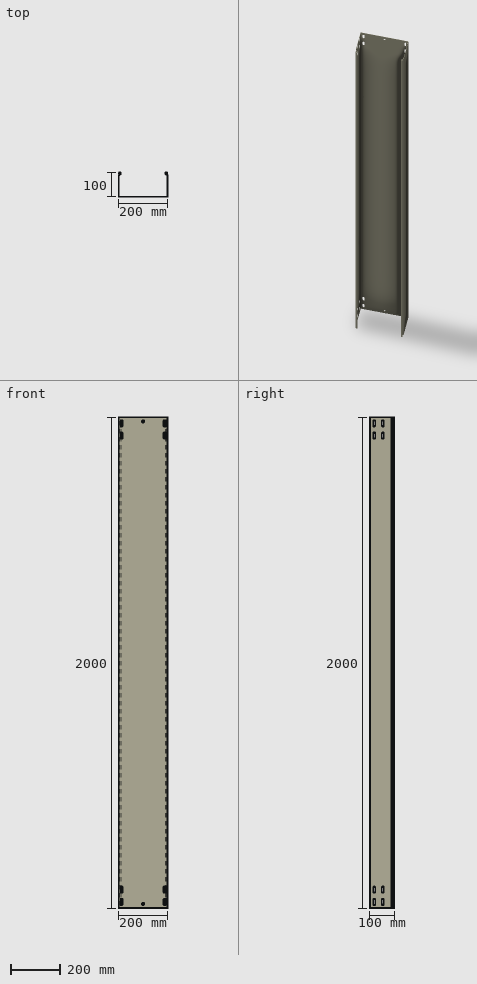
import cadquery as cq
import math

width = 200.0
height = 100.0
length = 2000.0
sheet = 1.0

lean_start = 87.5
lean_angle = 50.0
curl_radius = 3.75
curl_end_angle = 210.0

upright = 90.0
slot_end_distances = (25.0, 75.0)
slot_length = 25.0
slot_width = 7.0
floor_slot_inset = 12.5
wall_slot_heights = (18.0, 53.0)

floor_hole_diameter = 8.0
floor_hole_distance = 17.0


def end_positions(distance):
    """Heights of a feature placed at the same distance from both ends."""
    return (distance, length - distance)


def make_channel():
    """Flat floor with an upright wall along each side."""
    outer = cq.Workplane("XY").rect(width, lean_start).extrude(length)
    inner = (
        cq.Workplane("XY")
        .center(0, sheet)
        .rect(width - 2 * sheet, lean_start)
        .extrude(length)
    )
    return outer.cut(inner).translate((0, lean_start / 2, 0))


def make_left_rim():
    """Inward-leaning strip that runs tangentially into an outward curl."""
    wall_outside = -width / 2
    wall_inside = wall_outside + sheet
    lean = math.radians(lean_angle)
    lean_start_outside = lean_start + sheet * math.tan(lean / 2)

    curl_centre_y = height - curl_radius
    touch_y = curl_centre_y - curl_radius * math.sin(lean)
    touch_x = wall_inside + (touch_y - lean_start) * math.tan(lean)
    curl_centre_x = touch_x - curl_radius * math.cos(lean)
    inner_radius = curl_radius - sheet

    def on_curl(radius, degrees):
        angle = math.radians(degrees)
        return (curl_centre_x + radius * math.cos(angle), curl_centre_y + radius * math.sin(angle))

    curl_top_angle = 90.0
    return (
        cq.Workplane("XY")
        .moveTo(wall_outside, lean_start)
        .lineTo(wall_outside, lean_start_outside)
        .lineTo(*on_curl(inner_radius, -lean_angle))
        .threePointArc(on_curl(inner_radius, curl_top_angle), on_curl(inner_radius, curl_end_angle))
        .lineTo(*on_curl(curl_radius, curl_end_angle))
        .threePointArc(on_curl(curl_radius, curl_top_angle), on_curl(curl_radius, -lean_angle))
        .lineTo(wall_inside, lean_start)
        .close()
        .extrude(length)
    )


def floor_cutters():
    """Slots beside both walls and the centre holes, as cutting solids."""
    slot_x = width / 2 - floor_slot_inset
    slot_points = [
        (x, z)
        for x in (-slot_x, slot_x)
        for distance in slot_end_distances
        for z in end_positions(distance)
    ]
    hole_points = [(0, z) for z in end_positions(floor_hole_distance)]
    face = cq.Workplane("XZ")
    slots = face.pushPoints(slot_points).slot2D(slot_length, slot_width, upright).extrude(-sheet)
    holes = face.pushPoints(hole_points).circle(floor_hole_diameter / 2).extrude(-sheet)
    return slots.union(holes)


def wall_cutters():
    """Rows of slots passing through both side walls."""
    points = [
        (slot_height, z)
        for slot_height in wall_slot_heights
        for distance in slot_end_distances
        for z in end_positions(distance)
    ]
    return (
        cq.Workplane("YZ", origin=(-width / 2, 0, 0))
        .pushPoints(points)
        .slot2D(slot_length, slot_width, upright)
        .extrude(width)
    )


left_rim = make_left_rim()
tray = make_channel().union(left_rim).union(left_rim.mirror("YZ"))
result = tray.cut(floor_cutters()).cut(wall_cutters())